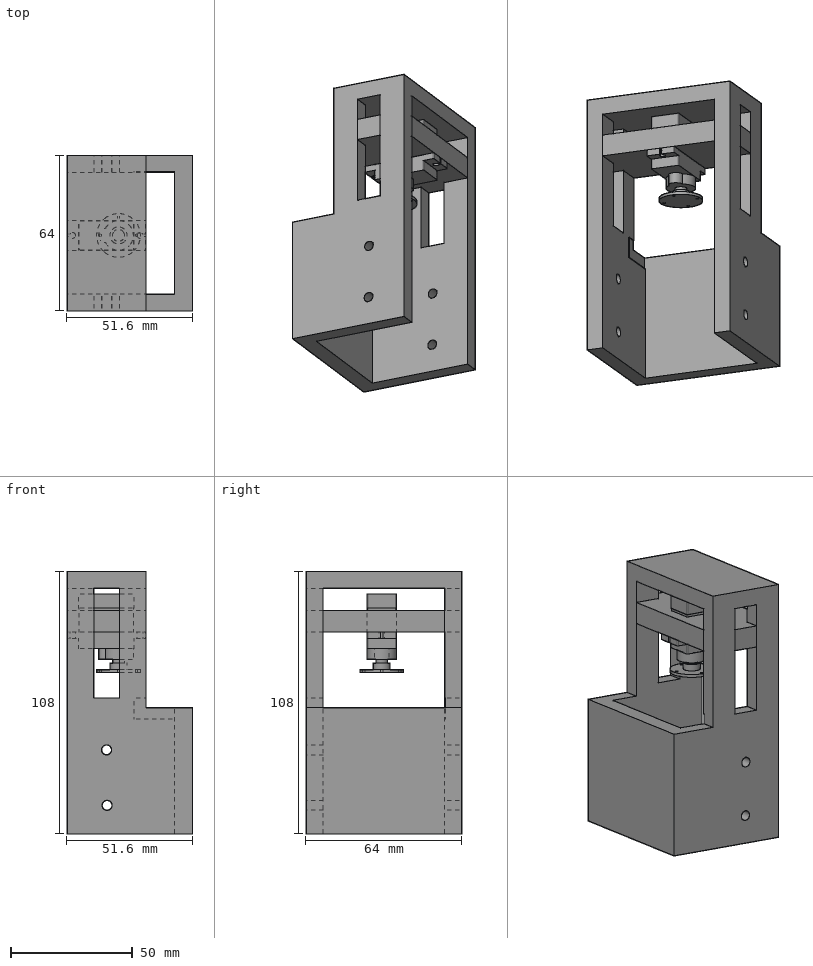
import cadquery as cq


def block(x_range, y_range, z_range):
    """Axis-aligned box given by its low and high limits on each axis."""
    (x0, x1), (y0, y1), (z0, z1) = x_range, y_range, z_range
    return cq.Workplane("XY").box(x1 - x0, y1 - y0, z1 - z0, centered=False).translate((x0, y0, z0))


def disc(x, y, z_bottom, z_top, diameter):
    """Upright cylinder between two heights."""
    base = cq.Workplane("XY", origin=(x, y, z_bottom))
    return base.circle(diameter / 2).extrude(z_top - z_bottom)


length = 51.6
width = 64.0
height = 108.0
wall = 7.0

portal_depth = 32.5
rear_wall = 7.5
box_height = 52.0
recess_bottom = 47.3
recess_depth = 0.3
recess_start = 27.5
guide_width = 10.5
guide_bottom = 56.0
guide_top = height - wall
guide_x = ((portal_depth - guide_width) / 2, (portal_depth + guide_width) / 2)
side_hole_diameter = 4.0
side_holes = [(16.2, 34.6), (16.4, 11.8)]

inner_y = (wall, width - wall)
outer_y = (0, width)

slider_z = (83.0, 92.0)

servo_x = 16.1
servo_y = 31.1
case_length = 22.8
case_width = 12.3
cap_overhang = 0.15
edge_radius = 0.4
case_bottom = 76.2
case_top = 98.8
cap_bottom = 93.0
flange_length = 32.2
flange_bottom = 80.4
flange_top = slider_z[0]
ear_hole_diameter = 2.4
ear_hole_spacing = 27.8
ear_slot_width = 1.0

gear_bottom = 71.8
output_x = 21.1
gear_diameter = 12.2
small_gear_x = 15.85
small_gear_diameter = 5.9

shaft_diameter = 4.9
hub_diameter = 7.0
horn_diameter = 17.98
hub_top = 70.3
horn_top = 67.6
horn_bottom = 66.4
horn_hole_diameter = 1.0
horn_hole_radius = 7.4
horn_hole_count = 4


def make_frame():
    portal = block((0, portal_depth), outer_y, (0, height))
    rear_box = block((portal_depth, length), outer_y, (0, box_height))
    body = portal.union(rear_box)

    body = body.cut(block((0, portal_depth), inner_y, (0, height - wall)))
    cavity_x = (portal_depth, length - rear_wall)
    body = body.cut(block(cavity_x, inner_y, (0, box_height)))

    recess_x = (recess_start, length - rear_wall)
    recess_y = (inner_y[1], inner_y[1] + recess_depth)
    body = body.cut(block(recess_x, recess_y, (recess_bottom, guide_bottom)))

    body = body.cut(block(guide_x, outer_y, (guide_bottom, guide_top)))
    hole_plane = cq.Workplane("XZ", origin=(0, width, 0))
    holes = hole_plane.pushPoints(side_holes).circle(side_hole_diameter / 2).extrude(width)
    return body.cut(holes)


def case_section(z_range, inset):
    """Stretch of the servo case with rounded upright edges, inset on every side."""
    z_bottom, z_top = z_range
    plane = cq.Workplane("XY", origin=(servo_x, servo_y, z_bottom))
    outline = plane.rect(case_length - 2 * inset, case_width - 2 * inset)
    return outline.extrude(z_top - z_bottom).edges("|Z").fillet(edge_radius)


def case_middle():
    return case_section((flange_bottom, cap_bottom), cap_overhang)


def make_slider():
    bar = block((0, portal_depth), inner_y, slider_z)
    tongues = block(guide_x, outer_y, slider_z)
    return bar.union(tongues).cut(case_middle())


def make_flange():
    """Mounting plate with a screw hole at each end that opens through a narrow slot."""
    plane = cq.Workplane("XY", origin=(servo_x, servo_y, flange_bottom))
    thickness = flange_top - flange_bottom
    plate = plane.rect(flange_length, case_width).extrude(thickness).edges("|Z").fillet(edge_radius)
    slot_length = (flange_length - ear_hole_spacing) / 2
    for side in (-1, 1):
        hole_x = side * ear_hole_spacing / 2
        slot_x = side * (flange_length - slot_length) / 2
        plate = plate.cut(plane.center(hole_x, 0).circle(ear_hole_diameter / 2).extrude(thickness))
        plate = plate.cut(plane.center(slot_x, 0).rect(slot_length, ear_slot_width).extrude(thickness))
    return plate


def make_gear_housing():
    """Large round housing around the output shaft with a smaller one merged into its side."""
    large = disc(output_x, servo_y, gear_bottom, case_bottom, gear_diameter)
    small = disc(small_gear_x, servo_y, gear_bottom, case_bottom, small_gear_diameter)
    return large.union(small)


def make_horn():
    shaft = disc(output_x, servo_y, hub_top, gear_bottom, shaft_diameter)
    hub = disc(output_x, servo_y, horn_top, hub_top, hub_diameter)
    plate = disc(output_x, servo_y, horn_bottom, horn_top, horn_diameter)
    hole_plane = cq.Workplane("XY", origin=(output_x, servo_y, horn_bottom))
    hole_centres = hole_plane.polarArray(horn_hole_radius, 0, 360, horn_hole_count)
    holes = hole_centres.circle(horn_hole_diameter / 2).extrude(horn_top - horn_bottom)
    return shaft.union(hub).union(plate.cut(holes))


def make_servo():
    cap = case_section((cap_bottom, case_top), 0).faces(">Z").edges().fillet(edge_radius / 2)
    lower_case = case_section((case_bottom, flange_bottom), 0)
    body = case_middle().union(cap).union(lower_case)
    return body.union(make_flange()).union(make_gear_housing()).union(make_horn())


frame = make_frame()
slider = make_slider()
servo = make_servo()

result = cq.Compound.makeCompound([frame.val(), slider.val(), servo.val()])